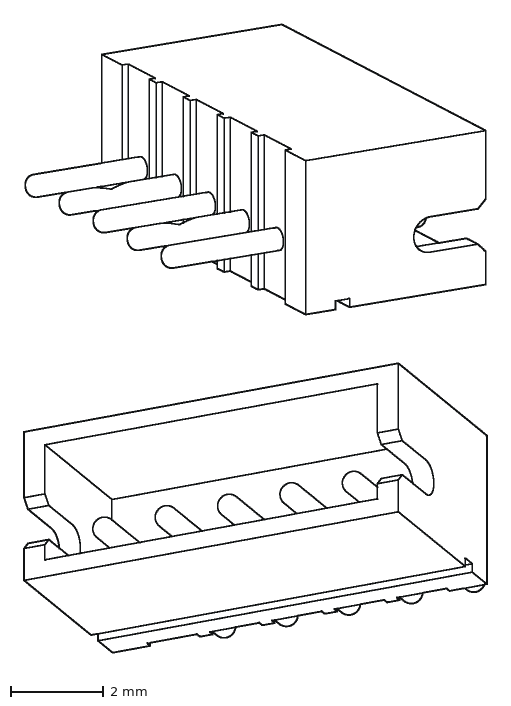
import cadquery as cq
import math

LENGTH = 9.0
DEPTH = 4.5
HEIGHT = 3.5

WALL = 0.4
END_WALL = 0.5
BASE_THICKNESS = 1.1

SLOT_WIDTH = 0.8
SLOT_DEPTH = 1.8
SLOT_Z = 1.35
SLOT_CHAMFER = 0.2

GROOVE_WIDTH = 0.35
GROOVE_DEPTH = 0.2
GROOVE_Y = BASE_THICKNESS - GROOVE_WIDTH / 2

PIN_COUNT = 5
PITCH = LENGTH / (PIN_COUNT + 1)
RECESS_WIDTH = 1.2
RECESS_DEPTH = 0.15
PIN_RADIUS = 0.25
PIN_TIP_RADIUS = 0.2
PIN_Z = 1.3
PIN_PROTRUSION = 2.7
PIN_BACK_INSET = 0.7
PIN_FRONT_Y = -PIN_PROTRUSION
PIN_BACK_Y = DEPTH - PIN_BACK_INSET
PIN_XS = [(i - (PIN_COUNT - 1) / 2) * PITCH for i in range(PIN_COUNT)]

KINK_Y = -1.41
KINK_HALF_LENGTH = 0.49
KINK_ANGLE = math.radians(16.0)
SHOULDER_BEND_RADIUS = 0.68
CREST_BEND_RADIUS = 0.29


def make_housing():
    """Hollow box with key slots, an underside groove, front recesses and pin holes."""
    body = cq.Workplane("XY").box(LENGTH, DEPTH, HEIGHT, centered=(True, False, False))
    body = body.cut(make_cavity()).cut(make_key_slot()).cut(make_groove())
    for x in PIN_XS:
        body = body.cut(make_recess(x)).cut(make_pin_hole(x))
    return body


def make_cavity():
    """Rectangular pocket that leaves the base, equal upper and lower walls, and thicker end walls."""
    return cq.Workplane("XY").box(
        LENGTH - 2 * END_WALL, DEPTH - BASE_THICKNESS, HEIGHT - 2 * WALL, centered=(True, False, False)
    ).translate((0, BASE_THICKNESS, WALL))


def make_key_slot():
    """Round-ended slot along X with a chamfered mouth at the back face."""
    half_width = SLOT_WIDTH / 2
    mouth_half_width = half_width + SLOT_CHAMFER
    end_y = DEPTH - SLOT_DEPTH
    return (
        cq.Workplane("YZ")
        .moveTo(DEPTH, SLOT_Z + mouth_half_width)
        .lineTo(DEPTH - SLOT_CHAMFER, SLOT_Z + half_width)
        .lineTo(end_y + half_width, SLOT_Z + half_width)
        .threePointArc((end_y, SLOT_Z), (end_y + half_width, SLOT_Z - half_width))
        .lineTo(DEPTH - SLOT_CHAMFER, SLOT_Z - half_width)
        .lineTo(DEPTH, SLOT_Z - mouth_half_width)
        .close()
        .extrude(LENGTH / 2, both=True)
    )


def make_groove():
    """Rectangular groove running the full length of the underside."""
    return cq.Workplane("XY").box(
        LENGTH, GROOVE_WIDTH, GROOVE_DEPTH, centered=(True, True, False)
    ).translate((0, GROOVE_Y, 0))


def make_recess(x):
    """Full-height shallow recess in the front face around one pin."""
    return cq.Workplane("XY").box(
        RECESS_WIDTH, RECESS_DEPTH, HEIGHT, centered=(True, False, False)
    ).translate((x, 0, 0))


def make_pin_hole(x):
    """Hole through the base in which one pin sits."""
    return cq.Workplane("XZ").center(x, PIN_Z).circle(PIN_RADIUS).extrude(-BASE_THICKNESS)


def straight_path():
    """Centre line of a plain pin, from back to front."""
    return cq.Workplane("YZ").moveTo(PIN_BACK_Y, PIN_Z).lineTo(PIN_FRONT_Y, PIN_Z)


def kinked_path():
    """Centre line of a retention pin: tangent arcs and lines dipping to a rounded crest."""
    half_angle = KINK_ANGLE / 2
    shoulder_run = SHOULDER_BEND_RADIUS * math.sin(KINK_ANGLE)
    shoulder_drop = SHOULDER_BEND_RADIUS * (1 - math.cos(KINK_ANGLE))
    shoulder_mid_run = SHOULDER_BEND_RADIUS * math.sin(half_angle)
    shoulder_mid_drop = SHOULDER_BEND_RADIUS * (1 - math.cos(half_angle))
    crest_run = CREST_BEND_RADIUS * math.sin(KINK_ANGLE)
    crest_rise = CREST_BEND_RADIUS * (1 - math.cos(KINK_ANGLE))

    slope_start = KINK_HALF_LENGTH - shoulder_run
    slope_start_z = PIN_Z - shoulder_drop
    slope_end_z = slope_start_z - (slope_start - crest_run) * math.tan(KINK_ANGLE)
    shoulder_mid = KINK_HALF_LENGTH - shoulder_mid_run
    shoulder_mid_z = PIN_Z - shoulder_mid_drop
    return (
        cq.Workplane("YZ")
        .moveTo(PIN_BACK_Y, PIN_Z)
        .lineTo(KINK_Y + KINK_HALF_LENGTH, PIN_Z)
        .threePointArc((KINK_Y + shoulder_mid, shoulder_mid_z), (KINK_Y + slope_start, slope_start_z))
        .lineTo(KINK_Y + crest_run, slope_end_z)
        .threePointArc((KINK_Y, slope_end_z - crest_rise), (KINK_Y - crest_run, slope_end_z))
        .lineTo(KINK_Y - slope_start, slope_start_z)
        .threePointArc((KINK_Y - shoulder_mid, shoulder_mid_z), (KINK_Y - KINK_HALF_LENGTH, PIN_Z))
        .lineTo(PIN_FRONT_Y, PIN_Z)
    )


def make_pin(x, path):
    """Round pin along a centre line, with both ends rounded over."""
    section = cq.Workplane("XZ", origin=(0, PIN_BACK_Y, PIN_Z)).circle(PIN_RADIUS)
    pin = section.sweep(path)
    pin = pin.faces("<Y or >Y").edges().fillet(PIN_TIP_RADIUS)
    return pin.translate((x, 0, 0))


housing = make_housing()
pins = []
for index, pin_x in enumerate(PIN_XS):
    is_kinked = index % 2 == 1
    centre_line = kinked_path() if is_kinked else straight_path()
    pins.append(make_pin(pin_x, centre_line))

result = cq.Compound.makeCompound([housing.val(), *[pin.val() for pin in pins]])